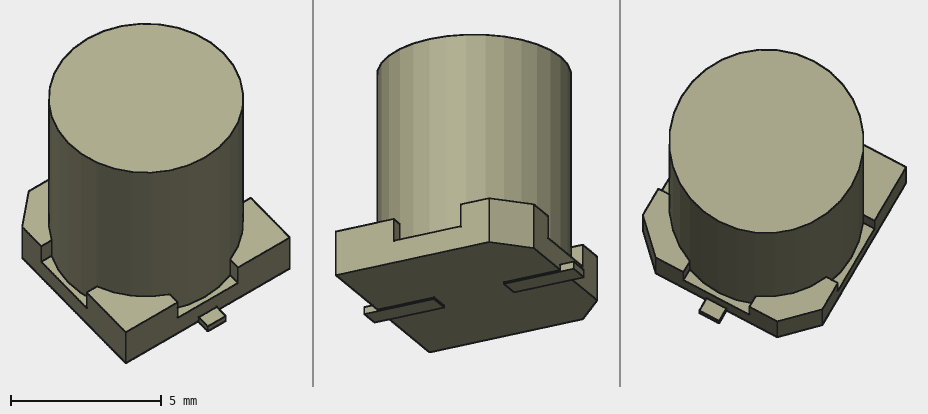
import cadquery as cq

base_side = 6.81
base_height = 1.6
corner_cut = 1.1

can_diameter = 6.45
can_sides = 32
can_top = 7.99

notch_width = 2.5
notch_depth = 0.8

lead_span = 7.8
lead_length = 2.6
lead_width = 0.75
lead_thickness = 0.26
lead_standoff = 0.06

lead_center_x = (lead_span - lead_length) / 2


def make_lead(side):
    """Flat lead on the +X side (side = 1) or the -X side (side = -1)."""
    return (
        cq.Workplane("XY", origin=(side * lead_center_x, 0, -lead_standoff))
        .rect(lead_length, lead_width)
        .extrude(lead_thickness)
    )


def make_base():
    """Square block with two cut corners and a notch in each side."""
    base = (
        cq.Workplane("XY")
        .rect(base_side, base_side)
        .extrude(base_height)
        .edges("|Z and <X")
        .chamfer(corner_cut)
    )
    notch_floor = cq.Workplane("XY", origin=(0, 0, base_height - notch_depth))
    for size_x, size_y in ((base_side, notch_width), (notch_width, base_side)):
        base = base.cut(notch_floor.rect(size_x, size_y).extrude(notch_depth))
    return base


def make_can():
    """Many-sided prism that fills the middle of the base and rises above it."""
    return cq.Workplane("XY").polygon(can_sides, can_diameter).extrude(can_top)


leads = [make_lead(side) for side in (-1, 1)]

housing = make_base().union(make_can())
for lead in leads:
    housing = housing.cut(lead)

result = cq.Compound.makeCompound([*housing.solids().vals(), *[lead.val() for lead in leads]])